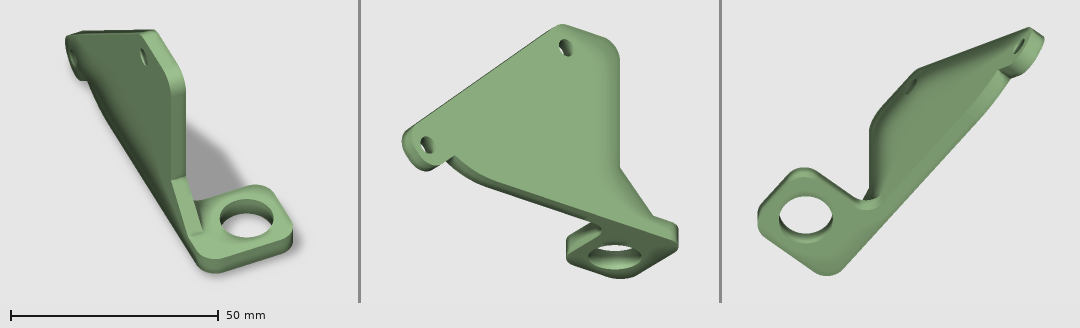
import cadquery as cq
import math

length = 82.7
depth = 25.0
top_z = 48.6
lug_bottom_z = -1.4

plate_thickness = 4.0
corner_radius = 5.0
slope_angle = math.radians(43.0)
slope_top_x = 44.8
gusset_top_z = 15.0
notch_from_lug_end = 9.9
belly_radius = 25.0
pin_hole_diameter = 4.5
pin_hole_centers = [(5.0, 3.55), (46.5, 42.3)]

tab_width = 20.0
tab_height = 5.0
tab_hole_diameter = 13.0
tab_hole_y = 15.45
tab_left_x = length - tab_width
tab_center_x = length - tab_width / 2

cos_slope = math.cos(slope_angle)
sin_slope = math.sin(slope_angle)
corner_overhang = corner_radius * (sin_slope + cos_slope - 1)
lug_upper_x = -corner_overhang
lug_upper_z = top_z - (slope_top_x - lug_upper_x) * math.tan(slope_angle)
lug_lower_z = lug_bottom_z - corner_overhang
lug_width = (lug_upper_z - lug_lower_z) / cos_slope
lug_lower_x = lug_upper_x + lug_width * sin_slope

notch_x = lug_lower_x + notch_from_lug_end * cos_slope
notch_z = lug_lower_z + notch_from_lug_end * sin_slope
belly_end_x = notch_x + math.sqrt(belly_radius**2 - (belly_radius - notch_z) ** 2)
half_belly_angle = math.acos(1 - notch_z / belly_radius) / 2
belly_middle = (
    belly_end_x - belly_radius * math.sin(half_belly_angle),
    belly_radius * (1 - math.cos(half_belly_angle)),
)


def make_plate():
    """Sloped upright plate with rounded outer corners and two pin holes."""
    plate = (
        cq.Workplane("XZ")
        .moveTo(lug_upper_x, lug_upper_z)
        .lineTo(slope_top_x, top_z)
        .lineTo(tab_left_x, top_z)
        .lineTo(tab_left_x, gusset_top_z)
        .lineTo(tab_center_x, tab_height)
        .lineTo(length, tab_height)
        .lineTo(length, 0)
        .lineTo(belly_end_x, 0)
        .threePointArc(belly_middle, (notch_x, notch_z))
        .lineTo(lug_lower_x, lug_lower_z)
        .close()
        .extrude(-plate_thickness)
    )
    rounded_corners = [
        (lug_upper_x, lug_upper_z),
        (lug_lower_x, lug_lower_z),
        (slope_top_x, top_z),
        (tab_left_x, top_z),
    ]
    for x, z in rounded_corners:
        corner = cq.NearestToPointSelector((x, plate_thickness / 2, z))
        plate = plate.edges("|Y").edges(corner).fillet(corner_radius)
    pins = (
        cq.Workplane("XZ")
        .pushPoints(pin_hole_centers)
        .circle(pin_hole_diameter / 2)
        .extrude(-plate_thickness)
    )
    return plate.cut(pins)


def make_tab():
    """Horizontal tab reaching back from the plate, with its rear corners rounded."""
    return (
        cq.Workplane("XY")
        .moveTo(tab_left_x, 0)
        .rect(tab_width, depth, centered=False)
        .extrude(tab_height)
        .edges("|Z and >Y")
        .fillet(corner_radius)
    )


def round_tab_edge(body, x, y):
    """Round the vertical edge at tab height nearest to the given place."""
    edge = cq.NearestToPointSelector((x, y, tab_height / 2))
    return body.edges("|Z").edges(edge).fillet(corner_radius)


def make_tab_hole():
    return (
        cq.Workplane("XY")
        .center(tab_center_x, tab_hole_y)
        .circle(tab_hole_diameter / 2)
        .extrude(tab_height)
    )


bracket = make_plate().union(make_tab())
bracket = round_tab_edge(bracket, tab_left_x, plate_thickness)
bracket = round_tab_edge(bracket, length, 0)
result = bracket.cut(make_tab_hole())